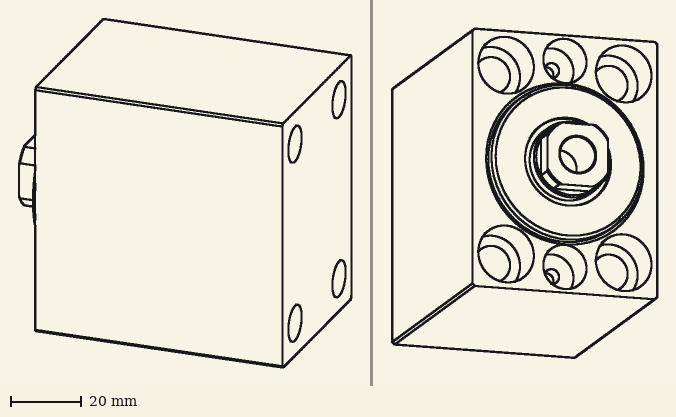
import cadquery as cq
import math


TOTAL_LENGTH = 87.0
HOUSING_LENGTH = 75.0
HOUSING_WIDTH = 55.0
HOUSING_HEIGHT = HOUSING_LENGTH
HOUSING_EDGE_CHAMFER = 0.7
BORE_MOUTH_CHAMFER = 1.0

MOUNT_SPACING_Y = 35.0
MOUNT_SPACING_Z = 55.0
MOUNT_HOLE_DIA = 10.6
MOUNT_BORE_DIA = 16.5
MOUNT_BORE_DEPTH = 13.0

PORT_SPACING_Z = 60.0
PORT_DIA = 12.9
PORT_DEPTH = 12.2
PASSAGE_DIA = 4.3
PASSAGE_DEPTH = 5.2

GLAND_DIA = 45.0
GLAND_PROJECTION = 3.0
GLAND_INSERT_DEPTH = 20.0
GLAND_CHAMFER = 1.0
GLAND_RECESS_DIA = 25.6
GLAND_RECESS_DEPTH = 1.4

ROD_PROJECTION = TOTAL_LENGTH - HOUSING_LENGTH
ROD_DIA = 22.0
ROD_SHOULDER_CHAMFER = 0.5
ROD_END_DIA = ROD_DIA - 2 * ROD_SHOULDER_CHAMFER
ROD_END_LENGTH = 5.9
ROD_END_FLATS = 18.0
ROD_TIP_CHAMFER = 0.35
ROD_HOLE_DIA = 10.4
ROD_HOLE_MOUTH_CHAMFER = 0.3
ROD_HOLE_DEPTH = 17.4
DRILL_POINT_ANGLE = 118.0


def cylinder_x(diameter, start, end):
    """Cylinder on the X axis from start to end."""
    return cq.Workplane("YZ", origin=(start, 0, 0)).circle(diameter / 2).extrude(end - start)


def corner_points(spacing_y, spacing_z):
    """Four points placed symmetrically about the axis, in the YZ plane."""
    return [(sy * spacing_y / 2, sz * spacing_z / 2) for sy in (-1, 1) for sz in (-1, 1)]


def drill(body, points, diameter, start, depth):
    """Cut flat-bottomed holes along +X at the given YZ points."""
    cutters = cq.Workplane("YZ", origin=(start, 0, 0)).pushPoints(points).circle(diameter / 2).extrude(depth)
    return body.cut(cutters)


def make_housing():
    housing = (
        cq.Workplane("XY")
        .box(HOUSING_LENGTH, HOUSING_WIDTH, HOUSING_HEIGHT, centered=(False, True, True))
        .edges("|X")
        .chamfer(HOUSING_EDGE_CHAMFER)
    )

    bore = cylinder_x(GLAND_DIA, 0, GLAND_INSERT_DEPTH)
    bore_radius = GLAND_DIA / 2
    mouth = cq.Workplane(
        cq.Solid.makeCone(
            bore_radius + BORE_MOUTH_CHAMFER,
            bore_radius,
            BORE_MOUTH_CHAMFER,
            pnt=cq.Vector(0, 0, 0),
            dir=cq.Vector(1, 0, 0),
        )
    )
    housing = housing.cut(bore).cut(mouth)

    mounts = corner_points(MOUNT_SPACING_Y, MOUNT_SPACING_Z)
    housing = drill(housing, mounts, MOUNT_HOLE_DIA, 0, HOUSING_LENGTH)
    housing = drill(housing, mounts, MOUNT_BORE_DIA, 0, MOUNT_BORE_DEPTH)

    ports = [(0, -PORT_SPACING_Z / 2), (0, PORT_SPACING_Z / 2)]
    housing = drill(housing, ports, PORT_DIA, 0, PORT_DEPTH)
    return drill(housing, ports, PASSAGE_DIA, PORT_DEPTH, PASSAGE_DEPTH)


def make_gland():
    front = -GLAND_PROJECTION
    gland = cylinder_x(GLAND_DIA, front, GLAND_INSERT_DEPTH).faces("<X").chamfer(GLAND_CHAMFER)
    recess = cylinder_x(GLAND_RECESS_DIA, front, front + GLAND_RECESS_DEPTH)
    rod_bore = cylinder_x(ROD_DIA, front, GLAND_INSERT_DEPTH)
    return gland.cut(recess).cut(rod_bore)


def make_rod():
    tip = -ROD_PROJECTION
    shoulder = tip + ROD_END_LENGTH
    shank = cylinder_x(ROD_DIA, shoulder, GLAND_INSERT_DEPTH).faces("<X").chamfer(ROD_SHOULDER_CHAMFER)

    end = cylinder_x(ROD_END_DIA, tip, shoulder).faces("<X").chamfer(ROD_TIP_CHAMFER)
    flats = cq.Workplane("YZ", origin=(tip, 0, 0)).rect(ROD_END_FLATS, ROD_END_FLATS).extrude(ROD_END_LENGTH)
    rod = shank.union(end.intersect(flats))

    hole_radius = ROD_HOLE_DIA / 2
    mouth_radius = hole_radius + ROD_HOLE_MOUTH_CHAMFER
    hole_end = tip + ROD_HOLE_DEPTH
    point_length = hole_radius / math.tan(math.radians(DRILL_POINT_ANGLE / 2))
    hole = (
        cq.Workplane("XY")
        .moveTo(tip, 0)
        .lineTo(tip, mouth_radius)
        .lineTo(tip + ROD_HOLE_MOUTH_CHAMFER, hole_radius)
        .lineTo(hole_end, hole_radius)
        .lineTo(hole_end + point_length, 0)
        .close()
        .revolve(360, (0, 0, 0), (1, 0, 0))
    )
    return rod.cut(hole)


housing = make_housing()
gland = make_gland()
rod = make_rod()

result = cq.Compound.makeCompound([housing.val(), gland.val(), rod.val()])